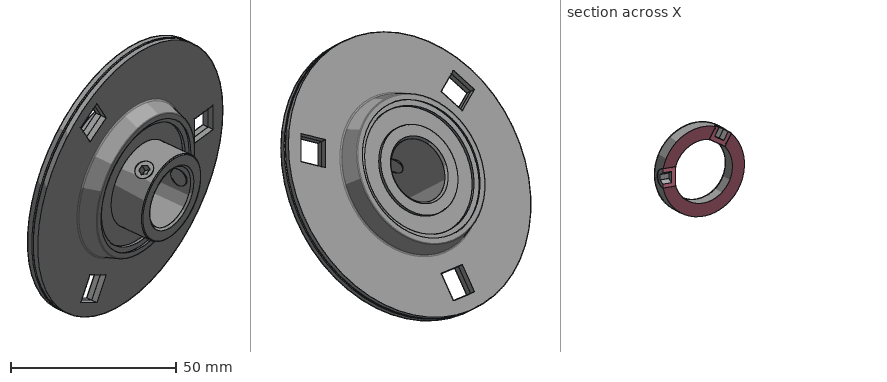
import cadquery as cq
import math


flange_radius = 45.0
flange_thickness = 2.0
flange_rim_chamfer = 0.3
dome_end = 8.0
dome_base_radius = 25.55
dome_end_radius = 23.75
dome_root_fillet = 0.5
dome_edge_fillet = 0.3

bolt_count = 3
bolt_hole_side = 9.0
bolt_circle_radius = 35.75

seat_sphere_radius = 23.25
outer_ring_half_width = 7.0
outer_ring_bore_radius = 20.3
seal_half_width = 6.0
inner_ring_start = -7.0
collar_end = 18.0
collar_radius = 14.35
collar_chamfer = 0.3
bore_radius = 10.0
bore_chamfer = 0.7

screw_radius = 3.0
screw_x = (dome_end + collar_end) / 2
screw_tip_distance = 9.5
screw_head_distance = 14.1
socket_sides = 6
socket_across_flats = 3.0
socket_depth = 3.0
screw_angles = (0.0, 120.0)


def truncated_ball(half_width):
    """Seat sphere cut flat at both ends, at X = -half_width and X = half_width."""
    end_radius = math.sqrt(seat_sphere_radius**2 - half_width**2)
    return (
        cq.Workplane("XY").moveTo(-half_width, 0).lineTo(-half_width, end_radius)
        .threePointArc((0, seat_sphere_radius), (half_width, end_radius))
        .lineTo(half_width, 0).close().revolve(360, (0, 0, 0), (1, 0, 0))
    )


def cut_bolt_holes(half):
    """Square through holes, one of them on the +Y side."""
    cutter = cq.Workplane("XY").box(2 * dome_end, bolt_hole_side, bolt_hole_side)
    cutter = cutter.translate((0, bolt_circle_radius, 0))
    for i in range(bolt_count):
        half = half.cut(cutter.rotate((0, 0, 0), (1, 0, 0), i * 360 / bolt_count))
    return half


def make_housing_half():
    """Flange and conical dome on the +X side, hollowed by the spherical bearing seat."""
    flange = cq.Workplane("YZ").circle(flange_radius).extrude(flange_thickness)
    flange = flange.faces("<X").edges().chamfer(flange_rim_chamfer)
    dome_profile = [
        (0, 0),
        (0, dome_base_radius),
        (flange_thickness, dome_base_radius),
        (dome_end, dome_end_radius),
        (dome_end, 0),
    ]
    dome = cq.Workplane("XY").polyline(dome_profile).close().revolve(360, (0, 0, 0), (1, 0, 0))
    half = flange.union(dome)
    half = half.edges(cq.selectors.RadiusNthSelector(1)).fillet(dome_root_fillet)
    half = half.faces(">X").edges().fillet(dome_edge_fillet)
    return cut_bolt_holes(half.cut(truncated_ball(dome_end)))


def along_screw(shape, angle):
    """Place a shape built along +Y at the origin onto a set screw axis."""
    return shape.translate((screw_x, 0, 0)).rotate((0, 0, 0), (1, 0, 0), angle)


def radial_plane(distance):
    """Plane at a distance along +Y, facing outwards, with its local X along the part's X."""
    return cq.Plane(origin=(0, distance, 0), xDir=(1, 0, 0), normal=(0, 1, 0))


def make_bearing():
    """Sealed bearing: spherical outer ring, recessed seals and inner ring with its collar."""
    outer_ring = truncated_ball(outer_ring_half_width)
    seal_recess = (
        cq.Workplane("YZ").workplane(offset=seal_half_width).circle(outer_ring_bore_radius).extrude(dome_end)
    )
    outer_ring = outer_ring.cut(seal_recess).cut(seal_recess.mirror("YZ"))
    inner_ring = (
        cq.Workplane("YZ").workplane(offset=inner_ring_start)
        .circle(collar_radius).extrude(collar_end - inner_ring_start)
        .faces(">X").edges().chamfer(collar_chamfer)
    )
    bore = (
        cq.Workplane("YZ").workplane(offset=inner_ring_start)
        .circle(bore_radius).extrude(collar_end - inner_ring_start)
    )
    bearing = outer_ring.union(inner_ring).cut(bore)
    bearing = bearing.edges(cq.selectors.RadiusNthSelector(0)).chamfer(bore_chamfer)
    screw_hole = cq.Workplane(radial_plane(0)).circle(screw_radius).extrude(collar_radius + screw_radius)
    for angle in screw_angles:
        bearing = bearing.cut(along_screw(screw_hole, angle))
    return bearing


def make_set_screw(angle):
    """Set screw with a hexagon socket whose flats face along X."""
    half_side_angle = 180 / socket_sides
    socket_corner_diameter = socket_across_flats / math.cos(math.radians(half_side_angle))
    length = screw_head_distance - screw_tip_distance
    body = cq.Workplane(radial_plane(screw_tip_distance)).circle(screw_radius).extrude(length)
    socket = (
        cq.Workplane(radial_plane(screw_head_distance)).transformed(rotate=(0, 0, half_side_angle))
        .polygon(socket_sides, socket_corner_diameter).extrude(-socket_depth)
    )
    return along_screw(body.cut(socket), angle)


right_housing = make_housing_half()
left_housing = right_housing.mirror("YZ")
bearing = make_bearing()
set_screws = [make_set_screw(angle) for angle in screw_angles]

result = cq.Compound.makeCompound(
    [left_housing.val(), right_housing.val(), bearing.val()] + [screw.val() for screw in set_screws]
)